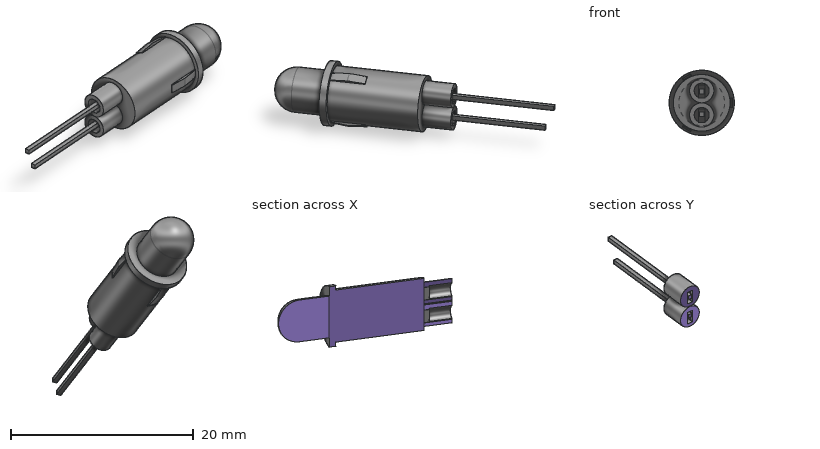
import cadquery as cq


lens_radius = 2.5
lens_length = 5.95

flange_radius = 3.58
flange_thickness = 0.8
barrel_radius = 3.1
barrel_length = 10.25
barrel_end = -barrel_length

barb_count = 3
barb_width = 1.0
barb_length = 4.0
barb_end_radius = 3.15
barb_peak_radius = 3.35
barb_root_radius = 2.85

sleeve_radius = 1.33
sleeve_bore_radius = 0.82
sleeve_length = 3.25
sleeve_offset = sleeve_radius
sleeve_end = barrel_end - sleeve_length
sleeve_floor = 0.63

slot_width = 0.65
slot_top = 0.63

overall_length = 31.65
lead_size = 0.5
lead_offset = 1.25
lead_step = 1.0
long_lead_end = flange_thickness + lens_length - overall_length
short_lead_end = long_lead_end + lead_step


def rod(radius, y_start, y_end, z=0.0):
    """Cylinder along Y between two Y positions, at height z."""
    return (
        cq.Workplane("XZ", origin=(0, y_start, z))
        .circle(radius)
        .extrude(y_start - y_end)
    )


def box_along_y(width, y_start, y_end, z_bottom, z_top):
    """Block centred on X = 0 between the given Y and Z limits."""
    return (
        cq.Workplane("XY", origin=(0, (y_start + y_end) / 2, z_bottom))
        .rect(width, y_start - y_end)
        .extrude(z_top - z_bottom)
    )


def make_lens():
    """Round-nosed lens standing on the front of the flange."""
    front = flange_thickness + lens_length
    body = rod(lens_radius, front - lens_radius, flange_thickness)
    dome = cq.Workplane("XY", origin=(0, front - lens_radius, 0)).sphere(lens_radius)
    return body.union(dome)


def make_barb():
    """Snap barb on the +X side, rising to a ridge at half its length."""
    return (
        cq.Workplane("XY", origin=(0, 0, -barb_width / 2))
        .moveTo(barb_root_radius, 0)
        .lineTo(barb_end_radius, 0)
        .lineTo(barb_peak_radius, -barb_length / 2)
        .lineTo(barb_end_radius, -barb_length)
        .lineTo(barb_root_radius, -barb_length)
        .close()
        .extrude(barb_width)
    )


def make_housing():
    """Flanged barrel with its ring of snap barbs."""
    housing = rod(flange_radius, flange_thickness, 0).union(rod(barrel_radius, 0, barrel_end))
    for index in range(barb_count):
        angle = index * 360 / barb_count
        housing = housing.union(make_barb().rotate((0, 0, 0), (0, 1, 0), angle))
    return housing


def make_sleeve(side):
    """Sleeve behind the barrel, bored almost through and slotted all along; side is +1 or -1 along Z."""
    z = side * sleeve_offset
    floor_face = barrel_end - sleeve_floor
    bore = rod(sleeve_bore_radius, floor_face, sleeve_end, z)
    slot = box_along_y(slot_width, barrel_end, sleeve_end, z - sleeve_bore_radius, z + slot_top)
    return rod(sleeve_radius, barrel_end, sleeve_end, z).cut(bore).cut(slot)


def make_lead(side, y_end):
    """Square lead starting on the barrel's rear face; side is +1 or -1 along Z."""
    z = side * lead_offset
    return box_along_y(lead_size, barrel_end, y_end, z - lead_size / 2, z + lead_size / 2)


lens = make_lens()
housing = make_housing()
sleeves = [make_sleeve(side) for side in (1, -1)]
leads = [make_lead(side, y_end) for side, y_end in ((1, long_lead_end), (-1, short_lead_end))]

result = cq.Compound.makeCompound(
    [lens.val(), housing.val()]
    + [sleeve.val() for sleeve in sleeves]
    + [lead.val() for lead in leads]
)